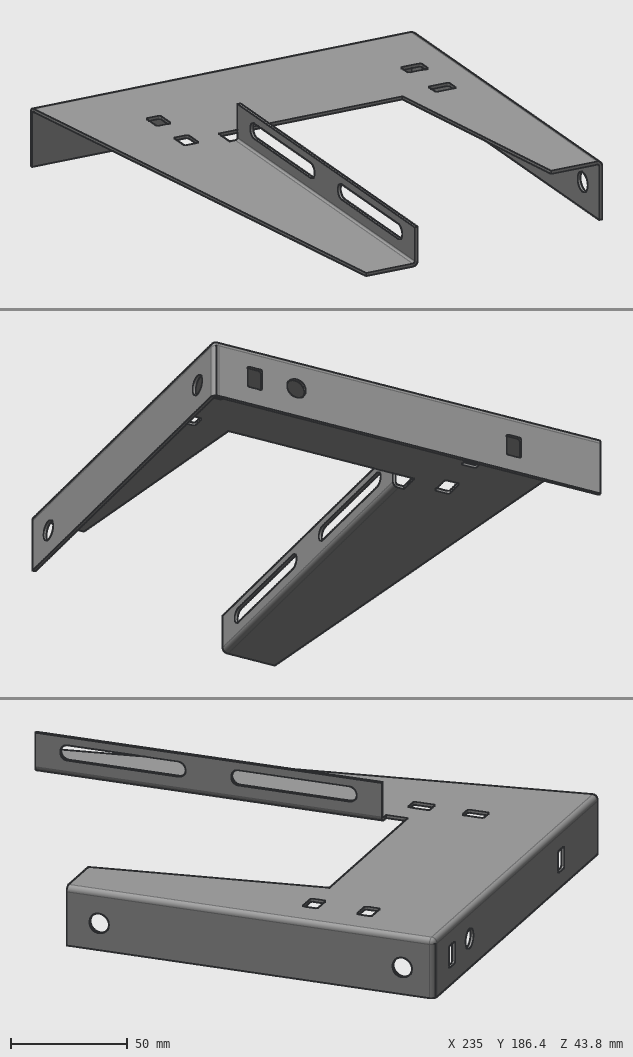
import cadquery as cq

sheet = 1.5
bend_inner = 1.0
bend_outer = bend_inner + sheet
length_x = 235.0
width_y = 186.38
total_height = 43.78
plate_top = 27.28
plate_bottom = plate_top - sheet

rear_arm_end = 170.0
rear_arm_tip_y = 161.5
rear_arm_root_y = 145.8
web_inner_x = 65.0
relief_floor_y = 56.3
tab_start_x = 75.0
tab_outer_y = 61.6
front_arm_tip_y = 36.4
corner_gap = 0.2

window_short = 7.0
window_long = 10.0
window_corner = 1.0
rear_plate_windows = [(39.0, 165.7), (64.0, 165.7)]
front_plate_windows = [(40.0, 40.6), (65.0, 40.6)]
side_windows = [(width_y - 20.0, 13.2), (41.8, 12.4)]
hole_diameter = 9.0
side_hole = (width_y - 40.0, 13.5)
rear_hole_xs = [15.0, 155.0]
rear_hole_z = plate_top - 15.0

slot_length = 58.0
slot_width = 7.0
slot_pitch = 79.0
slot_z = 36.6

cut_depth = 4 * sheet


def flat_plate():
    outline = [
        (bend_outer, 0),
        (length_x, front_arm_tip_y),
        (length_x, tab_outer_y - bend_outer),
        (tab_start_x, tab_outer_y - bend_outer),
        (tab_start_x, relief_floor_y),
        (web_inner_x, relief_floor_y),
        (web_inner_x, rear_arm_root_y),
        (rear_arm_end, rear_arm_tip_y),
        (rear_arm_end, width_y - bend_outer),
        (bend_outer, width_y - bend_outer),
    ]
    return cq.Workplane("XY", origin=(0, 0, plate_bottom)).polyline(outline).close().extrude(sheet)


def bent_flange(plane, height, length):
    """Quarter bend and straight leg; local origin is the outer corner, local x points back to the plate."""
    return (
        cq.Workplane(plane)
        .moveTo(bend_outer, 0)
        .radiusArc((0, -bend_outer), -bend_outer)
        .lineTo(0, -height)
        .lineTo(sheet, -height)
        .lineTo(sheet, -bend_outer)
        .radiusArc((bend_outer, -sheet), bend_inner)
        .close()
        .extrude(length)
    )


def side_flange():
    plane = cq.Plane((0, 0, plate_top), xDir=(1, 0, 0), normal=(0, -1, 0))
    flange = bent_flange(plane, plate_top, -width_y)
    gap_depth = sheet + corner_gap
    leg_gap = cq.Workplane("XY").box(bend_outer, gap_depth, plate_top - bend_outer, centered=False)
    return flange.cut(leg_gap.translate((0, width_y - gap_depth, 0)))


def rear_flange():
    plane = cq.Plane((0, width_y, plate_top), xDir=(0, -1, 0), normal=(-1, 0, 0))
    return bent_flange(plane, plate_top, -rear_arm_end)


def upright_tab():
    plane = cq.Plane((tab_start_x, tab_outer_y, plate_bottom), xDir=(0, -1, 0), normal=(1, 0, 0))
    return bent_flange(plane, total_height - plate_bottom, length_x - tab_start_x)


def corner_envelope():
    """Solid whose top edges are rounded like the outside of the side and rear bends."""
    block = cq.Workplane("XY").box(length_x, width_y, plate_top, centered=False)
    return block.edges("|Y and >Z and <X").fillet(bend_outer).edges("|X and >Z and >Y").fillet(bend_outer)


def window(size, axis):
    """Box with the corners along the given edge selector rounded."""
    return cq.Workplane("XY").box(*size).edges(axis).fillet(window_corner)


def openings():
    """Cutters for all windows, holes and slots."""
    cutters = []
    for x, y in rear_plate_windows:
        cutters.append(window((window_short, window_long, cut_depth), "|Z").translate((x, y, plate_top)))
    for x, y in front_plate_windows:
        cutters.append(window((window_long, window_short, cut_depth), "|Z").translate((x, y, plate_top)))
    for y, z in side_windows:
        cutters.append(window((cut_depth, window_short, window_long), "|X").translate((0, y, z)))
    cutters.append(cq.Workplane("YZ").center(*side_hole).circle(hole_diameter / 2).extrude(cut_depth))
    cutters.append(
        cq.Workplane("XZ", origin=(0, width_y, 0))
        .pushPoints([(x, rear_hole_z) for x in rear_hole_xs])
        .circle(hole_diameter / 2)
        .extrude(cut_depth)
    )
    tab_middle_x = (tab_start_x + length_x) / 2
    cutters.append(
        cq.Workplane("XZ", origin=(0, tab_outer_y, 0))
        .pushPoints([(tab_middle_x - slot_pitch / 2, slot_z), (tab_middle_x + slot_pitch / 2, slot_z)])
        .slot2D(slot_length, slot_width)
        .extrude(cut_depth)
    )
    return cutters


flanges = side_flange().union(rear_flange()).intersect(corner_envelope())
result = flat_plate().union(flanges).union(upright_tab())
for cutter in openings():
    result = result.cut(cutter)